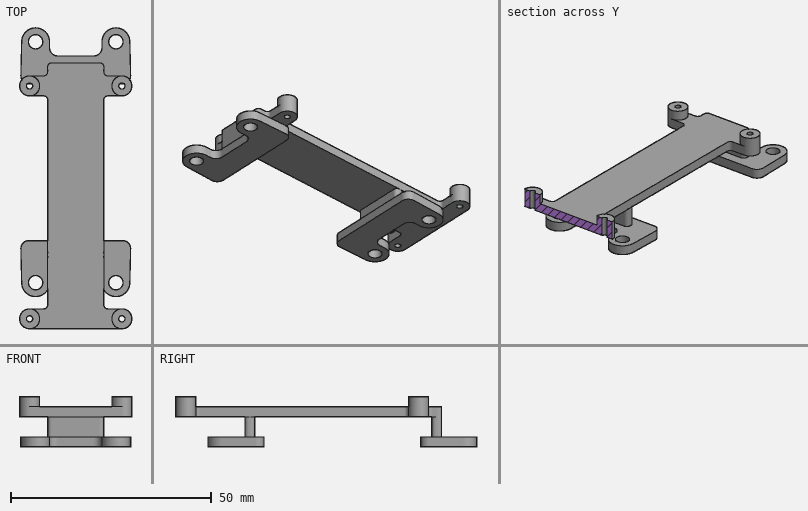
import cadquery as cq

layer = 2.5
wall_height = 5.0
post_height = 5.0
deck_z = layer + wall_height

post_x = 11.5
post_y = 29.0
post_diameter = 5.0
post_hole_diameter = 1.5

deck_width = 14.0
deck_end_y = post_y + 5.75
deck_fillet = 1.0

feet = [(40.0, 1), (-20.0, -1)]
leg_x = 10.0
leg_radius = 3.5
leg_hole_diameter = 3.5
foot_back = 10.5
foot_bar = 7.0
foot_back_half_width = 13.75
foot_corner_radius = 2.0

wall_thickness = 2.5
wall_corner_radius = 1.0
wall_y = [deck_end_y - wall_thickness / 2, -13.05]

select_margin = 1.0


def make_foot(hole_y, direction):
    """U-shaped foot with two round-ended legs, pointing along +Y or -Y."""
    inner_x = leg_x - leg_radius
    outer_x = leg_x + leg_radius
    notch_y = foot_bar - foot_back
    foot = (
        cq.Workplane("XY")
        .moveTo(-foot_back_half_width, -foot_back)
        .lineTo(foot_back_half_width, -foot_back)
        .lineTo(outer_x, 0)
        .threePointArc((leg_x, leg_radius), (inner_x, 0))
        .lineTo(inner_x, notch_y)
        .lineTo(-inner_x, notch_y)
        .lineTo(-inner_x, 0)
        .threePointArc((-leg_x, leg_radius), (-outer_x, 0))
        .close()
        .extrude(layer)
    )
    back_corners = foot.faces("<Y").edges("|Z")
    notch_corners = foot.edges("|Z").edges(
        cq.selectors.BoxSelector(
            (-leg_x, notch_y - select_margin, 0), (leg_x, notch_y + select_margin, layer)
        )
    )
    foot = foot.newObject(back_corners.vals() + notch_corners.vals()).fillet(foot_corner_radius)
    holes = (
        cq.Workplane("XY")
        .pushPoints([(-leg_x, 0), (leg_x, 0)])
        .circle(leg_hole_diameter / 2)
        .extrude(layer)
    )
    foot = foot.cut(holes)
    if direction < 0:
        foot = foot.mirror("XZ")
    return foot.translate((0, hole_y, 0))


def make_wall(center_y):
    """Upright wall with rounded corners, from a foot up to the deck."""
    return (
        cq.Workplane("XY", origin=(0, center_y, layer))
        .rect(deck_width, wall_thickness)
        .extrude(wall_height)
        .edges("|Z")
        .fillet(wall_corner_radius)
    )


def make_deck():
    """Long strip with a cross arm at each pair of posts."""
    length = deck_end_y + post_y
    deck = (
        cq.Workplane("XY", origin=(0, (deck_end_y - post_y) / 2, deck_z))
        .rect(deck_width, length)
        .extrude(layer)
    )
    for y in (-post_y, post_y):
        arm = (
            cq.Workplane("XY", origin=(0, y, deck_z))
            .rect(2 * post_x, post_diameter)
            .extrude(layer)
        )
        deck = deck.union(arm)
    strip_corners = cq.selectors.BoxSelector(
        (-deck_width / 2 - select_margin, -post_y, deck_z),
        (deck_width / 2 + select_margin, deck_end_y + select_margin, deck_z + layer),
    )
    return deck.edges("|Z").edges(strip_corners).fillet(deck_fillet)


def make_posts(diameter):
    """Four cylinders at the post positions, from the deck underside to the post tops."""
    return (
        cq.Workplane("XY", origin=(0, 0, deck_z))
        .rect(2 * post_x, 2 * post_y, forConstruction=True)
        .vertices()
        .circle(diameter / 2)
        .extrude(post_height)
    )


result = make_deck().union(make_posts(post_diameter)).cut(make_posts(post_hole_diameter))
for y in wall_y:
    result = result.union(make_wall(y))
for hole_y, direction in feet:
    result = result.union(make_foot(hole_y, direction))